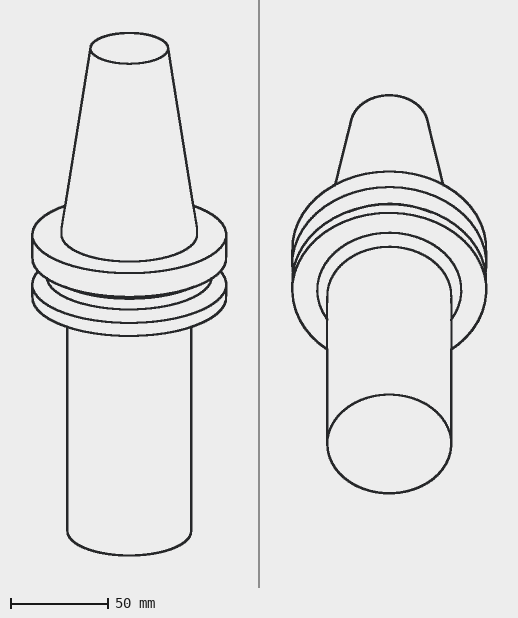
import cadquery as cq

total_height = 270.8

shank_radius = 64.0 / 2
flange_bottom = 131.0
neck_radius = 37.0
neck_height = neck_radius - shank_radius

flange_radius = 100.0 / 2
flange_top = 166.3
lower_rim_height = 7.3
upper_rim_height = 13.3
groove_radius = 85.0 / 2
groove_floor_bottom = 142.7
groove_floor_top = 148.7

collar_radius = 70.0 / 2
collar_height = 3.0
taper_top_radius = 20.0

profile = [
    (0, 0),
    (shank_radius, 0),
    (shank_radius, flange_bottom - neck_height),
    (neck_radius, flange_bottom),
    (flange_radius, flange_bottom),
    (flange_radius, flange_bottom + lower_rim_height),
    (groove_radius, groove_floor_bottom),
    (groove_radius, groove_floor_top),
    (flange_radius, flange_top - upper_rim_height),
    (flange_radius, flange_top),
    (collar_radius, flange_top),
    (collar_radius, flange_top + collar_height),
    (taper_top_radius, total_height),
    (0, total_height),
]

result = cq.Workplane("XZ").polyline(profile).close().revolve(360, (0, 0, 0), (0, 1, 0))